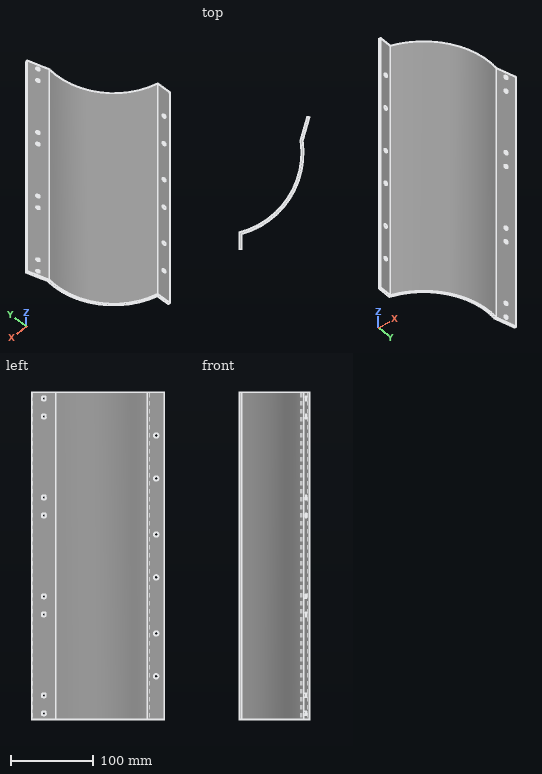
import cadquery as cq
import math

height = 398.0
width = 85.0
depth = 161.0

thickness = 3.0
bend_radius = 100.0
straight_flange_depth = 20.5
tilted_flange_depth = 29.0
tilt = math.radians(16)

hole_diameter = 5.0
pair_pitch = 120.0
tilted_pair_count = 4
tilted_pair_gap = 22.0
straight_pair_count = 3
straight_pair_gap = 52.0
straight_hole_inset = 10.0


def arc_point(center, radius, angle):
    return (center[0] + radius * math.cos(angle), center[1] + radius * math.sin(angle))


along = (math.sin(tilt), math.cos(tilt))
normal = (math.cos(tilt), -math.sin(tilt))
tip_outer = (width, depth - thickness * math.sin(tilt))
tip_inner = (width - thickness * normal[0], depth)
inner_start = (0.0, straight_flange_depth)
inner_end = (tip_inner[0] - tilted_flange_depth * math.tan(tilt), depth - tilted_flange_depth)

chord_x = inner_end[0] - inner_start[0]
chord_y = inner_end[1] - inner_start[1]
chord = math.hypot(chord_x, chord_y)
center_offset = math.sqrt(bend_radius**2 - (chord / 2) ** 2)
center = (
    (inner_start[0] + inner_end[0]) / 2 - center_offset * chord_y / chord,
    (inner_start[1] + inner_end[1]) / 2 + center_offset * chord_x / chord,
)

outer_radius = bend_radius + thickness
outer_start_angle = -math.acos((thickness - center[0]) / outer_radius)
tip_distance = (tip_outer[0] - center[0]) * normal[0] + (tip_outer[1] - center[1]) * normal[1]
outer_end_angle = math.acos(tip_distance / outer_radius) - tilt
outer_mid_angle = (outer_start_angle + outer_end_angle) / 2
inner_start_angle = math.atan2(inner_start[1] - center[1], inner_start[0] - center[0])
inner_end_angle = math.atan2(inner_end[1] - center[1], inner_end[0] - center[0])
inner_mid_angle = (inner_start_angle + inner_end_angle) / 2


def make_sheet():
    return (
        cq.Workplane("XY")
        .moveTo(0, 0)
        .lineTo(thickness, 0)
        .lineTo(*arc_point(center, outer_radius, outer_start_angle))
        .threePointArc(
            arc_point(center, outer_radius, outer_mid_angle),
            arc_point(center, outer_radius, outer_end_angle),
        )
        .lineTo(*tip_outer)
        .lineTo(*tip_inner)
        .lineTo(*inner_end)
        .threePointArc(arc_point(center, bend_radius, inner_mid_angle), inner_start)
        .close()
        .extrude(height)
    )


def paired_heights(count, gap):
    """Hole heights for evenly pitched pairs centred on the sheet."""
    heights = []
    for index in range(count):
        pair_center = height / 2 + (index - (count - 1) / 2) * pair_pitch
        heights += [pair_center - gap / 2, pair_center + gap / 2]
    return heights


def make_drills(face_point, direction, heights):
    """Cylinders through the sheet, square to the flange face at face_point."""
    drill_direction = cq.Vector(direction[0], direction[1], 0)
    drills = cq.Workplane("XY")
    for z in heights:
        start = cq.Vector(face_point[0], face_point[1], z) - drill_direction * thickness
        drills.add(cq.Solid.makeCylinder(hole_diameter / 2, 3 * thickness, start, drill_direction))
    return drills.combine()


half_flange = tilted_flange_depth / math.cos(tilt) / 2
tilted_hole = (tip_inner[0] - half_flange * along[0], tip_inner[1] - half_flange * along[1])
straight_hole = (0.0, straight_hole_inset)

tilted_drills = make_drills(tilted_hole, normal, paired_heights(tilted_pair_count, tilted_pair_gap))
straight_drills = make_drills(
    straight_hole, (1.0, 0.0), paired_heights(straight_pair_count, straight_pair_gap)
)
result = make_sheet().cut(tilted_drills).cut(straight_drills)